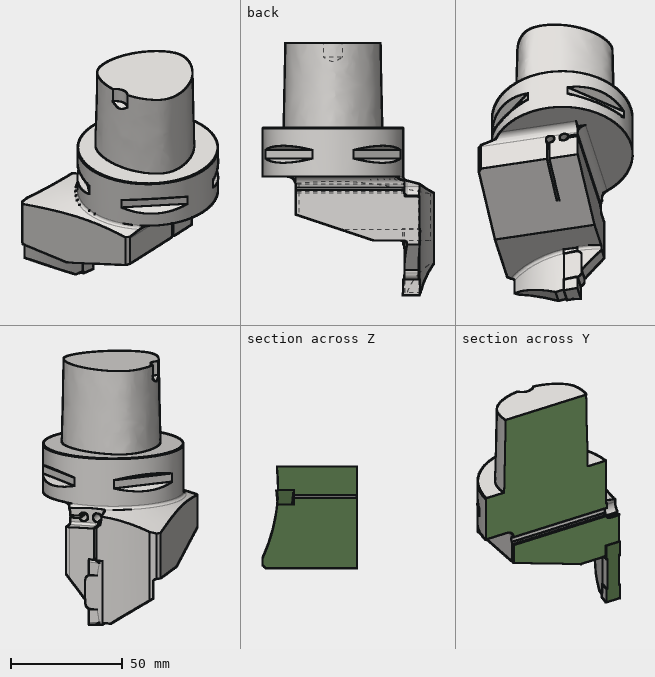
import cadquery as cq
import math


SHANK_HEIGHT = 38.0
SHANK_BASE_RADIUS = 22.1
SHANK_TOP_RADIUS = 21.4
LOBE_HEIGHT = 1.5
SHANK_POINTS = 36

KEYWAY_RADIUS = 5.1
KEYWAY_AXIS_Y = -22.6
KEYWAY_DEPTH = 6.3
KEYWAY_CONE_DEPTH = 4.1

FLANGE_RADIUS = 63.0 / 2
FLANGE_BOTTOM = -21.9
FLANGE_EDGE_CHAMFER = 0.3

GROOVE_COUNT = 4
GROOVE_Z = -11.9
GROOVE_FLOOR_RADIUS = 27.8
GROOVE_FLOOR_WIDTH = 3.7
GROOVE_MOUTH_WIDTH = 7.7

BLOCK_LEFT = -45.2
BLOCK_RIGHT = 16.7
BLOCK_FRONT = -34.9
BLOCK_BACK = 10.7
BLOCK_BOTTOM = -50.5
BLOCK_CHAMFER = 1.5
SLOPE_START_X = -18.2
SLOPE_END_Z = -38.9
FLANGE_FILLET = 3.6

SHOULDER_ANGLE = math.radians(15)
SHOULDER_FILLET = 1.5
SHOULDER_FILLET_RUN = SHOULDER_FILLET * math.tan((math.pi / 2 - SHOULDER_ANGLE) / 2)
SHOULDER_TOP = FLANGE_BOTTOM - SHOULDER_FILLET_RUN

ENVELOPE_REACH = 2 * FLANGE_RADIUS

HOLLOW_RADIUS = 74.6
HOLLOW_PEAK_X = -38.3
HOLLOW_CENTER_Y = 1.1
BULGE_RADIUS = 45.0
BULGE_PEAK_X = -31.9
BLADE_BOTTOM = -73.8
BLADE_TIP_FRONT_Y = -10.4
BLADE_FRONT_Y = -32.0
BLADE_FRONT_Z = -59.5
BLADE_ROOT_FILLET = 1.4

JAW_FLAT_Y = 9.0
JAW_BACK_Z = -52.3
JAW_TIP_Z = -63.7

POCKET_WALL_X = -32.0
POCKET_FRONT_Y = -5.8
POCKET_FLOOR_Z = -30.8
POCKET_CORNER_RADIUS = 4.6
POCKET_WALL_FILLET = 1.1

RELIEF_HOLE_DIAMETER = 4.0
RELIEF_Z = -27.2
REAR_HOLE_Y = 4.4
FRONT_HOLE_Y = -1.9
SLIT_WIDTH = 1.1
REAR_SLIT_Z = -27.3
FRONT_SLIT_Y = -2.8

INSERT_TOP = -45.0
INSERT_BOTTOM = -75.0
INSERT_FRONT_Y = -6.4
INSERT_EDGE_Y = 0.0
INSERT_BACK_Y = 1.8
INSERT_END_RELIEF = 0.5
INSERT_LEFT = -39.1
INSERT_RIGHT = -31.2
INSERT_HEAD_LENGTH = 7.2
INSERT_SHOULDER = 2.8
HEAD_SIDE_TAPER = 0.7
HEAD_LENGTH_TAPER = 0.2
HEAD_CORNER_HEIGHT = 1.1
HEAD_CORNER_WIDTH = 0.3

INSERT_MIDDLE_Z = (INSERT_TOP + INSERT_BOTTOM) / 2
INSERT_MIDDLE_X = (INSERT_LEFT + INSERT_RIGHT) / 2


def hollow_x(y):
    """X of the blade's hollow side at a given Y."""
    center_x = HOLLOW_PEAK_X - HOLLOW_RADIUS
    return center_x + math.sqrt(HOLLOW_RADIUS**2 - (y - HOLLOW_CENTER_Y) ** 2)


def bulge_x(y):
    """X of the blade's bulging side at a given Y."""
    return BULGE_PEAK_X - BULGE_RADIUS + math.sqrt(BULGE_RADIUS**2 - y**2)


def hollow_y(x):
    """Front Y at which the hollow side reaches a given X."""
    reach = x - (HOLLOW_PEAK_X - HOLLOW_RADIUS)
    return HOLLOW_CENTER_Y - math.sqrt(HOLLOW_RADIUS**2 - reach**2)


def bulge_y(x):
    """Front Y at which the bulging side reaches a given X."""
    reach = x - (BULGE_PEAK_X - BULGE_RADIUS)
    return -math.sqrt(BULGE_RADIUS**2 - reach**2)


def shank_section(mean_radius, z):
    """Closed three-lobed wire with one lobe on +Y; the radius swells and shrinks three times per turn."""
    points = []
    for i in range(SHANK_POINTS):
        angle = 2 * math.pi * i / SHANK_POINTS
        lobe_phase = 3 * (angle - math.pi / 2)
        reach = mean_radius + LOBE_HEIGHT * math.cos(lobe_phase)
        turn = -3 * LOBE_HEIGHT * math.sin(lobe_phase)
        x = reach * math.cos(angle) - turn * math.sin(angle)
        y = reach * math.sin(angle) + turn * math.cos(angle)
        points.append(cq.Vector(x, y, z))
    return cq.Wire.assembleEdges([cq.Edge.makeSpline(points, periodic=True)])


def make_shank():
    """Tapered shank with a round-sided, cone-ended keyway open at its end."""
    base = shank_section(SHANK_BASE_RADIUS, 0)
    end = shank_section(SHANK_TOP_RADIUS, SHANK_HEIGHT)
    shank = cq.Workplane(cq.Solid.makeLoft([base, end], True))
    wall_z = SHANK_HEIGHT - KEYWAY_DEPTH
    keyway = (
        cq.Workplane("XZ")
        .moveTo(0, SHANK_HEIGHT)
        .lineTo(KEYWAY_RADIUS, SHANK_HEIGHT)
        .lineTo(KEYWAY_RADIUS, wall_z)
        .lineTo(0, wall_z - KEYWAY_CONE_DEPTH)
        .close()
        .revolve()
        .translate((0, KEYWAY_AXIS_Y, 0))
    )
    return shank.cut(keyway)


def make_flange():
    """Round flange with trapezoidal grooves cut straight across its rim."""
    flange = cq.Workplane("XY").circle(FLANGE_RADIUS).extrude(FLANGE_BOTTOM)
    flange = flange.faces(">Z").chamfer(FLANGE_EDGE_CHAMFER)
    half_floor = GROOVE_FLOOR_WIDTH / 2
    half_mouth = GROOVE_MOUTH_WIDTH / 2
    groove = (
        cq.Workplane("XZ")
        .moveTo(GROOVE_FLOOR_RADIUS, GROOVE_Z - half_floor)
        .lineTo(FLANGE_RADIUS, GROOVE_Z - half_mouth)
        .lineTo(FLANGE_RADIUS, GROOVE_Z + half_mouth)
        .lineTo(GROOVE_FLOOR_RADIUS, GROOVE_Z + half_floor)
        .close()
        .extrude(FLANGE_RADIUS, both=True)
    )
    pitch = 360 / GROOVE_COUNT
    for i in range(GROOVE_COUNT):
        flange = flange.cut(groove.rotate((0, 0, 0), (0, 0, 1), pitch * (i + 0.5)))
    return flange


def make_shoulder_envelope():
    """Solid of revolution that limits the top of the block."""
    reach = ENVELOPE_REACH
    tangent_r = FLANGE_RADIUS + SHOULDER_FILLET_RUN * math.cos(SHOULDER_ANGLE)
    tangent_z = SHOULDER_TOP - SHOULDER_FILLET_RUN * math.sin(SHOULDER_ANGLE)
    outer_z = SHOULDER_TOP - (reach - FLANGE_RADIUS) * math.tan(SHOULDER_ANGLE)
    return (
        cq.Workplane("XZ")
        .moveTo(0, FLANGE_BOTTOM)
        .lineTo(FLANGE_RADIUS, FLANGE_BOTTOM)
        .radiusArc((tangent_r, tangent_z), -SHOULDER_FILLET)
        .lineTo(reach, outer_z)
        .lineTo(reach, BLOCK_BOTTOM)
        .lineTo(0, BLOCK_BOTTOM)
        .close()
        .revolve()
    )


def hollow_side(sketch):
    """Continue an outline along the hollow side, from the jaw's flat to the block's left side."""
    jaw_x = hollow_x(JAW_FLAT_Y)
    end_y = hollow_y(BLOCK_LEFT)
    middle_y = (JAW_FLAT_Y + end_y) / 2
    return (
        sketch.lineTo(jaw_x, BLOCK_BACK)
        .lineTo(jaw_x, JAW_FLAT_Y)
        .threePointArc((hollow_x(middle_y), middle_y), (BLOCK_LEFT, end_y))
    )


def make_block():
    """Block with a hollow left side, a conical top and a sloping underside."""
    outline = (
        cq.Workplane("XY")
        .workplane(offset=BLOCK_BOTTOM)
        .moveTo(BLOCK_RIGHT, BLOCK_BACK)
    )
    outline = hollow_side(outline)
    block = (
        outline.lineTo(BLOCK_LEFT, BLOCK_FRONT + BLOCK_CHAMFER)
        .lineTo(BLOCK_LEFT + BLOCK_CHAMFER, BLOCK_FRONT)
        .lineTo(BLOCK_RIGHT - BLOCK_CHAMFER, BLOCK_FRONT)
        .lineTo(BLOCK_RIGHT, BLOCK_FRONT + BLOCK_CHAMFER)
        .close()
        .extrude(FLANGE_BOTTOM - BLOCK_BOTTOM)
    )
    slope = (
        cq.Workplane("XZ")
        .moveTo(SLOPE_START_X, BLOCK_BOTTOM)
        .lineTo(BLOCK_RIGHT, SLOPE_END_Z)
        .lineTo(BLOCK_RIGHT, BLOCK_BOTTOM)
        .close()
        .extrude(ENVELOPE_REACH, both=True)
    )
    return block.intersect(make_shoulder_envelope()).cut(slope)


def flare_profile(plane, side):
    """Concave corner between a block side and the flange's underside."""
    return (
        cq.Workplane(plane)
        .moveTo(side, FLANGE_BOTTOM)
        .lineTo(side + FLANGE_FILLET, FLANGE_BOTTOM)
        .radiusArc((side, FLANGE_BOTTOM - FLANGE_FILLET), -FLANGE_FILLET)
        .close()
    )


def make_flares():
    """Fillets from the block's right and back sides to the flange, trimmed by the shoulder."""
    front_end = BLOCK_FRONT + BLOCK_CHAMFER
    right = flare_profile("XZ", BLOCK_RIGHT).extrude(BLOCK_BACK - front_end)
    right = right.translate((0, BLOCK_BACK, 0))
    back = flare_profile("YZ", BLOCK_BACK).extrude(BLOCK_RIGHT - POCKET_WALL_X)
    back = back.translate((POCKET_WALL_X, 0, 0))
    return right.union(back).intersect(make_shoulder_envelope())


def make_blade_sheet(bottom, top):
    """Curved sheet between the hollow and bulging sides."""
    outline = (
        cq.Workplane("XY")
        .workplane(offset=bottom)
        .moveTo(bulge_x(BLOCK_BACK), BLOCK_BACK)
    )
    return (
        hollow_side(outline)
        .lineTo(BLOCK_LEFT, bulge_y(BLOCK_LEFT))
        .threePointArc((BULGE_PEAK_X, 0), (bulge_x(BLOCK_BACK), BLOCK_BACK))
        .close()
        .extrude(top - bottom)
    )


def make_blade():
    """Blade and jaw below the block, trimmed to their side outline."""
    outline = (
        cq.Workplane("YZ")
        .polyline([
            (BLOCK_BACK, BLOCK_BOTTOM),
            (BLOCK_BACK, JAW_BACK_Z),
            (INSERT_BACK_Y, JAW_TIP_Z),
            (INSERT_FRONT_Y, BLADE_BOTTOM),
            (BLADE_TIP_FRONT_Y, BLADE_BOTTOM),
            (BLADE_FRONT_Y, BLADE_FRONT_Z),
            (BLADE_FRONT_Y, BLOCK_BOTTOM),
        ])
        .close()
        .extrude(-ENVELOPE_REACH)
    )
    return make_blade_sheet(BLADE_BOTTOM, BLOCK_BOTTOM).intersect(outline)


def root_edges():
    """Selector for the edge where the blade's bulging side leaves the block's bottom face."""
    margin = 0.1
    return cq.selectors.BoxSelector(
        (BLOCK_LEFT - margin, bulge_y(BLOCK_LEFT) - margin, BLOCK_BOTTOM - margin),
        (BULGE_PEAK_X + margin, BLOCK_BACK + margin, BLOCK_BOTTOM + margin),
        boundingbox=True,
    )


def make_pocket():
    """Flat-floored pocket with a rounded front corner and a filleted wall."""
    pocket = cq.Workplane("XY").box(
        POCKET_WALL_X - BLOCK_LEFT,
        BLOCK_BACK - POCKET_FRONT_Y,
        FLANGE_BOTTOM - POCKET_FLOOR_Z,
        centered=False,
    )
    pocket = pocket.translate((BLOCK_LEFT, POCKET_FRONT_Y, POCKET_FLOOR_Z))
    pocket = pocket.faces("<Y").edges("<Z").fillet(POCKET_CORNER_RADIUS)
    return pocket.faces(">X").edges("not(>Z or >Y)").fillet(POCKET_WALL_FILLET)


def make_reliefs():
    """Two cross holes, each with a slit: one to the back side, one down to the insert."""
    holes = (
        cq.Workplane("YZ")
        .pushPoints([(REAR_HOLE_Y, RELIEF_Z), (FRONT_HOLE_Y, RELIEF_Z)])
        .circle(RELIEF_HOLE_DIAMETER / 2)
        .extrude(ENVELOPE_REACH, both=True)
    )
    slit_span = 2 * ENVELOPE_REACH
    rear_length = BLOCK_BACK - REAR_HOLE_Y
    rear_slit = cq.Workplane("XY").box(slit_span, rear_length, SLIT_WIDTH)
    rear_slit = rear_slit.translate((0, REAR_HOLE_Y + rear_length / 2, REAR_SLIT_Z))
    front_length = RELIEF_Z - INSERT_TOP + INSERT_END_RELIEF
    front_slit = cq.Workplane("XY").box(slit_span, SLIT_WIDTH, front_length)
    front_slit = front_slit.translate((0, FRONT_SLIT_Y, RELIEF_Z - front_length / 2))
    return holes.union(rear_slit).union(front_slit)


def make_insert_outline():
    """Side outline of the insert, extruded over its full width."""
    shoulder_drop = INSERT_HEAD_LENGTH + INSERT_SHOULDER
    return (
        cq.Workplane("YZ", origin=(INSERT_LEFT, 0, 0))
        .moveTo(INSERT_FRONT_Y, INSERT_TOP - INSERT_END_RELIEF)
        .lineTo(INSERT_EDGE_Y, INSERT_TOP)
        .lineTo(INSERT_EDGE_Y, INSERT_TOP - INSERT_HEAD_LENGTH)
        .radiusArc((INSERT_BACK_Y, INSERT_TOP - shoulder_drop), INSERT_SHOULDER)
        .lineTo(INSERT_BACK_Y, INSERT_BOTTOM + shoulder_drop)
        .radiusArc((INSERT_EDGE_Y, INSERT_BOTTOM + INSERT_HEAD_LENGTH), INSERT_SHOULDER)
        .lineTo(INSERT_EDGE_Y, INSERT_BOTTOM)
        .lineTo(INSERT_FRONT_Y, INSERT_BOTTOM + INSERT_END_RELIEF)
        .close()
        .extrude(INSERT_RIGHT - INSERT_LEFT)
    )


def make_head(outline):
    """Upper cutting head, narrowing to the front and away from its cutting edge."""

    def section(z, half_width):
        front_half = half_width - HEAD_SIDE_TAPER
        corners = [
            (INSERT_MIDDLE_X - half_width, INSERT_EDGE_Y, z),
            (INSERT_MIDDLE_X + half_width, INSERT_EDGE_Y, z),
            (INSERT_MIDDLE_X + front_half, INSERT_FRONT_Y, z),
            (INSERT_MIDDLE_X - front_half, INSERT_FRONT_Y, z),
        ]
        return cq.Wire.makePolygon([cq.Vector(*c) for c in corners], close=True)

    half_width = (INSERT_RIGHT - INSERT_LEFT) / 2
    edge = section(INSERT_TOP, half_width)
    root = section(INSERT_TOP - INSERT_HEAD_LENGTH, half_width - HEAD_LENGTH_TAPER)
    head = cq.Workplane(cq.Solid.makeLoft([edge, root], True))
    head = head.intersect(outline)
    return head.faces(">Z").edges("<X").chamfer(HEAD_CORNER_WIDTH, HEAD_CORNER_HEIGHT)


def make_insert():
    """Insert: a middle flush with the blade and two opposite cutting heads."""
    outline = make_insert_outline()
    head = make_head(outline)
    opposite_head = head.mirror("XY", (0, 0, INSERT_MIDDLE_Z))
    body = outline.intersect(make_blade_sheet(INSERT_BOTTOM, INSERT_TOP))
    return body.union(head).union(opposite_head)


def make_holder():
    """Holder: shank, flange, block, blade and jaw, with the insert's seat cut out."""
    head = make_block().union(make_blade())
    head = head.edges(root_edges()).fillet(BLADE_ROOT_FILLET)
    head = head.union(make_flares()).cut(make_pocket()).cut(make_reliefs())
    holder = make_shank().union(make_flange()).union(head)
    return holder.cut(make_insert_outline())


holder = make_holder()
insert = make_insert()
result = cq.Compound.makeCompound([holder.val(), insert.val()])